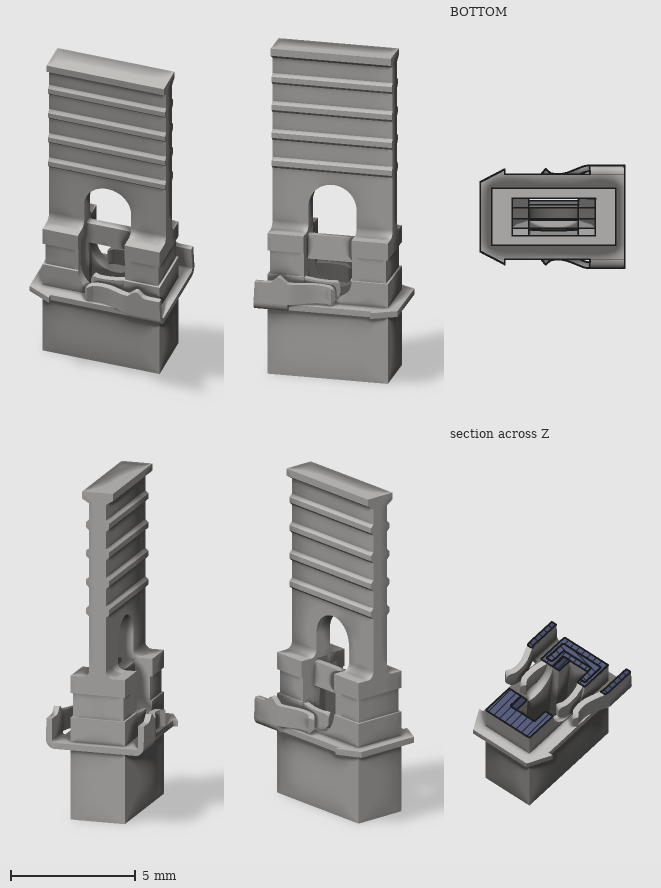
import cadquery as cq
import math

BLOCK_X = 5.0
BLOCK_Y = 2.3
BLOCK_HEIGHT = 6.0
TOTAL_HEIGHT = 13.73

NECK_BOTTOM = 4.25
NECK_TOP = 5.27
NECK_INSET = 0.089

HANDLE_THICKNESS = 0.71
HANDLE_FILLET = 0.29
RIM_WIDTH = 1.3
RIM_HEIGHT = 0.3
RIM_TAPER_HEIGHT = 0.18

RIB_COUNT = 4
RIB_TOP_Z = 12.36
RIB_PITCH = 1.2
RIB_PROJECTION = 0.13
RIB_BASE_HEIGHT = 0.47
RIB_CREST_HEIGHT = 0.22

WINDOW_WIDTH = 1.99
WINDOW_BOTTOM = 3.3
WINDOW_TOP = 8.02

PLATE_WIDTH = 3.35
PLATE_THICKNESS = 0.32
PLATE_TILT = 3.6
PLATE_TOP = 5.81
PLATE_BRIDGE_BOTTOM = 4.82
PLATE_BACK_Y = 0.77

CAVITY_FRONT_Y = -0.74
CAVITY_CEILING = 5.59
CAVITY_STEP_Y = -0.37
CAVITY_ROOF = 5.95

SHEET = 0.25
ARM_BASE_BOTTOM = 3.35
ARM_BASE_TOP = 4.23
ARM_TIP_HEIGHT = 0.69
ARM_TIP_FILLET = 0.27

CREASE_X = -0.16
BOW_APEX_X = 0.18
BOW_END_X = 0.7
BASE_BEND_X = 1.17
BASE_X = 1.45
TIP_LENGTH = 0.3

CLIP_ARM_SLOPE = 22.0
CLIP_TIP_SLOPE = 38.0
FORK_ARM_SLOPE = 14.0
FORK_TIP_SLOPE = 30.0

CLIP_LEFT = -2.97
CLIP_RIGHT = 2.87
CLIP_TAB_TOP_RIGHT = 2.8
CLIP_BOTTOM = 3.0
CLIP_END_HALF_WIDTH = 1.4
CLIP_BARB_X = -1.96
CLIP_BARB_HALF_WIDTH = 1.92
CLIP_TAB_OUTER_Y = 2.07
CLIP_BEND_RADIUS = ARM_BASE_BOTTOM - CLIP_BOTTOM
CLIP_HALF_WIDTH = CLIP_TAB_OUTER_Y - CLIP_BEND_RADIUS

BUMP_RISE = (1.66, 4.41)
BUMP_PEAK = (1.8, 4.49)
BUMP_TAIL = (2.02, 4.32)
BUMP_END_X = 2.29

FORK_BRIDGE_RIGHT = 2.2
FORK_APEX_Y = 1.07

SIDES = (-1, 1)


def block(x_min, x_max, y_min, y_max, z_min, z_max):
    size = (x_max - x_min, y_max - y_min, z_max - z_min)
    return cq.Workplane("XY").box(*size, centered=False).translate((x_min, y_min, z_min))


def centred_block(size_x, size_y, z_min, z_max):
    return block(-size_x / 2, size_x / 2, -size_y / 2, size_y / 2, z_min, z_max)


def bar_along_x(yz_points, length):
    """Prism with the given YZ outline, centred on X = 0."""
    return cq.Workplane("YZ").polyline(yz_points).close().extrude(length / 2, both=True)


def plate_back_y(z):
    return PLATE_BACK_Y - z * math.tan(math.radians(PLATE_TILT))


def make_contact_plate():
    """Leaning plate, square across its top edge, with a gap between its two legs."""
    tilt = math.radians(PLATE_TILT)
    top_back_z = PLATE_TOP + PLATE_THICKNESS * math.sin(tilt)
    top_back_y = plate_back_y(top_back_z)
    outline = [
        (plate_back_y(0), 0),
        (top_back_y, top_back_z),
        (top_back_y - PLATE_THICKNESS * math.cos(tilt), PLATE_TOP),
        (plate_back_y(0) - PLATE_THICKNESS / math.cos(tilt), 0),
    ]
    leg_gap = centred_block(WINDOW_WIDTH, BLOCK_Y, 0, PLATE_BRIDGE_BOTTOM)
    return bar_along_x(outline, PLATE_WIDTH).cut(leg_gap)


def on_circle(centre, radius, angle):
    """Point at an angle measured from straight down, positive towards +X."""
    return (centre[0] + radius * math.sin(angle), centre[1] - radius * math.cos(angle))


def arm_rise(arm_slope):
    """Offset in Y between the apex and the base of an arm."""
    slope = math.radians(arm_slope)
    bends = (BOW_END_X - BOW_APEX_X) + (BASE_X - BASE_BEND_X)
    straight = BASE_BEND_X - BOW_END_X
    return bends * math.tan(slope / 2) + straight * math.tan(slope)


def arm_plan(arm_slope, arm_tip_slope, side, apex_y, base_direction):
    """Tall strip following the bow of an arm; base_direction is 1 if the base lies further out."""
    slope = math.radians(arm_slope)
    tip_slope = math.radians(arm_tip_slope)
    bow_radius = (BOW_END_X - BOW_APEX_X) / math.sin(slope)
    base_radius = (BASE_X - BASE_BEND_X) / math.sin(slope)
    bow_centre = (BOW_APEX_X, bow_radius)
    base_centre = (BASE_X, arm_rise(arm_slope) - base_radius)
    crease = math.asin((CREASE_X - BOW_APEX_X) / bow_radius)
    crease_point = on_circle(bow_centre, bow_radius, crease)
    tip_point = (
        crease_point[0] - TIP_LENGTH * math.cos(tip_slope),
        crease_point[1] + TIP_LENGTH * math.sin(tip_slope),
    )

    def place(point):
        return (point[0], side * (apex_y + base_direction * point[1]))

    def face_points(offset):
        """Points along one face of the sheet, from the tip to the base."""
        bow = bow_radius - offset
        bend = base_radius + offset
        corner = (tip_point[0] + offset * math.sin(tip_slope),
                  tip_point[1] + offset * math.cos(tip_slope))
        points = [
            corner,
            on_circle(bow_centre, bow, crease),
            on_circle(bow_centre, bow, (crease + slope) / 2),
            on_circle(bow_centre, bow, slope),
            on_circle(base_centre, bend, math.pi + slope),
            on_circle(base_centre, bend, math.pi + slope / 2),
            on_circle(base_centre, bend, math.pi),
        ]
        return [place(point) for point in points]

    low = face_points(-SHEET / 2)
    high = face_points(SHEET / 2)
    return (
        cq.Workplane("XY")
        .moveTo(*low[0])
        .lineTo(*low[1])
        .threePointArc(low[2], low[3])
        .lineTo(*low[4])
        .threePointArc(low[5], low[6])
        .lineTo(*high[6])
        .threePointArc(high[5], high[4])
        .lineTo(*high[3])
        .threePointArc(high[2], high[1])
        .lineTo(*high[0])
        .close()
        .extrude(TOTAL_HEIGHT)
    )


def make_arm(arm_slope, tip_slope, side, apex_y, base_direction):
    """Arm that tapers in height towards a tip with rounded corners."""
    strip = arm_plan(arm_slope, tip_slope, side, apex_y, base_direction)
    tip_x = strip.val().BoundingBox().xmin
    middle_z = (ARM_BASE_BOTTOM + ARM_BASE_TOP) / 2
    taper = (
        cq.Workplane("XZ")
        .polyline([
            (tip_x, middle_z - ARM_TIP_HEIGHT / 2),
            (BASE_X, ARM_BASE_BOTTOM),
            (BASE_X, ARM_BASE_TOP),
            (tip_x, middle_z + ARM_TIP_HEIGHT / 2),
        ])
        .close()
        .extrude(CLIP_TAB_OUTER_Y, both=True)
        .edges("|Y and <X")
        .fillet(ARM_TIP_FILLET)
    )
    return strip.intersect(taper)


def make_clip_plate():
    outline = [
        (CLIP_LEFT, CLIP_END_HALF_WIDTH),
        (CLIP_BARB_X, CLIP_BARB_HALF_WIDTH),
        (CLIP_BARB_X, CLIP_HALF_WIDTH),
        (CLIP_RIGHT, CLIP_HALF_WIDTH),
    ]
    mirrored = [(x, -y) for x, y in reversed(outline)]
    plate = cq.Workplane("XY").polyline(outline + mirrored).close().extrude(SHEET)
    return plate.translate((0, 0, CLIP_BOTTOM))


def make_clip_tab(side):
    """Upright tab joined to the edge of the plate by a round bend, with a bump on top."""
    outer_mid = CLIP_BEND_RADIUS * math.sqrt(0.5)
    inner_mid = (CLIP_BEND_RADIUS - SHEET) * math.sqrt(0.5)
    section = (
        cq.Workplane("YZ")
        .moveTo(side * CLIP_HALF_WIDTH, CLIP_BOTTOM)
        .threePointArc(
            (side * (CLIP_HALF_WIDTH + outer_mid), ARM_BASE_BOTTOM - outer_mid),
            (side * CLIP_TAB_OUTER_Y, ARM_BASE_BOTTOM),
        )
        .lineTo(side * CLIP_TAB_OUTER_Y, BLOCK_HEIGHT)
        .lineTo(side * (CLIP_TAB_OUTER_Y - SHEET), BLOCK_HEIGHT)
        .lineTo(side * (CLIP_TAB_OUTER_Y - SHEET), ARM_BASE_BOTTOM)
        .threePointArc(
            (side * (CLIP_HALF_WIDTH + inner_mid), ARM_BASE_BOTTOM - inner_mid),
            (side * CLIP_HALF_WIDTH, CLIP_BOTTOM + SHEET),
        )
        .close()
        .extrude(CLIP_RIGHT)
    )
    return section.intersect(clip_tab_profile())


def clip_tab_profile():
    """Front outline of the tab: slanted right end and a rounded bump on the top edge."""
    return (
        cq.Workplane("XZ")
        .moveTo(BASE_X, CLIP_BOTTOM)
        .lineTo(CLIP_RIGHT, CLIP_BOTTOM)
        .lineTo(CLIP_TAB_TOP_RIGHT, ARM_BASE_TOP)
        .lineTo(BUMP_END_X, ARM_BASE_TOP)
        .spline(
            [BUMP_TAIL, BUMP_PEAK, BUMP_RISE, (BASE_X, ARM_BASE_TOP)],
            tangents=[(-1, 0), (-1, -1)],
            includeCurrent=True,
        )
        .close()
        .extrude(CLIP_TAB_OUTER_Y, both=True)
    )


def make_clip():
    clip = make_clip_plate()
    apex_y = CLIP_TAB_OUTER_Y - SHEET / 2 - arm_rise(CLIP_ARM_SLOPE)
    for side in SIDES:
        clip = clip.union(make_clip_tab(side))
        clip = clip.union(make_arm(CLIP_ARM_SLOPE, CLIP_TIP_SLOPE, side, apex_y, 1))
    return clip.cut(centred_block(BLOCK_X, BLOCK_Y, 0, TOTAL_HEIGHT))


def make_fork():
    """Two arms bowed outwards, joined beyond the cavity by straight legs and a bridge."""
    base_y = FORK_APEX_Y - arm_rise(FORK_ARM_SLOPE)
    outer_y = base_y + SHEET / 2
    inner_y = base_y - SHEET / 2
    yoke = block(BASE_X, FORK_BRIDGE_RIGHT, -outer_y, outer_y, ARM_BASE_BOTTOM, ARM_BASE_TOP)
    fork = yoke.cut(
        block(BASE_X, FORK_BRIDGE_RIGHT - SHEET, -inner_y, inner_y, ARM_BASE_BOTTOM, ARM_BASE_TOP)
    )
    for side in SIDES:
        fork = fork.union(make_arm(FORK_ARM_SLOPE, FORK_TIP_SLOPE, side, FORK_APEX_Y, -1))
    return fork


def make_neck_groove():
    ring = centred_block(BLOCK_X, BLOCK_Y, NECK_BOTTOM, NECK_TOP)
    return ring.cut(
        centred_block(BLOCK_X - 2 * NECK_INSET, BLOCK_Y - 2 * NECK_INSET, NECK_BOTTOM, NECK_TOP)
    )


def make_rim():
    rim_z = TOTAL_HEIGHT - RIM_HEIGHT
    taper_z = rim_z - RIM_TAPER_HEIGHT
    outline = [
        (-RIM_WIDTH / 2, TOTAL_HEIGHT),
        (RIM_WIDTH / 2, TOTAL_HEIGHT),
        (RIM_WIDTH / 2, rim_z),
        (HANDLE_THICKNESS / 2, taper_z),
        (-HANDLE_THICKNESS / 2, taper_z),
        (-RIM_WIDTH / 2, rim_z),
    ]
    return bar_along_x(outline, BLOCK_X)


def make_rib(z):
    """Pair of trapezoidal ribs, one on each face of the handle."""
    face_y = HANDLE_THICKNESS / 2
    crest_y = face_y + RIB_PROJECTION
    right = [
        (face_y, z - RIB_BASE_HEIGHT / 2),
        (crest_y, z - RIB_CREST_HEIGHT / 2),
        (crest_y, z + RIB_CREST_HEIGHT / 2),
        (face_y, z + RIB_BASE_HEIGHT / 2),
    ]
    left = [(-y, height) for y, height in reversed(right)]
    return bar_along_x(right + left, BLOCK_X)


def make_window():
    return (
        cq.Workplane("XZ")
        .center(0, (WINDOW_TOP + WINDOW_BOTTOM) / 2)
        .slot2D(WINDOW_TOP - WINDOW_BOTTOM, WINDOW_WIDTH, 90)
        .extrude(BLOCK_Y, both=True)
    )


def make_cavity():
    """Stepped cavity open at the bottom; its back wall leans with the plate."""
    outline = [
        (CAVITY_FRONT_Y, 0),
        (CAVITY_FRONT_Y, CAVITY_CEILING),
        (CAVITY_STEP_Y, CAVITY_CEILING),
        (CAVITY_STEP_Y, CAVITY_ROOF),
        (plate_back_y(CAVITY_ROOF), CAVITY_ROOF),
        (plate_back_y(0), 0),
    ]
    return bar_along_x(outline, PLATE_WIDTH)


def make_housing(fork):
    body = centred_block(BLOCK_X, BLOCK_Y, 0, BLOCK_HEIGHT)
    body = body.union(centred_block(BLOCK_X, HANDLE_THICKNESS, BLOCK_HEIGHT, TOTAL_HEIGHT))
    root = cq.selectors.BoxSelector(
        (-BLOCK_X, -HANDLE_THICKNESS, BLOCK_HEIGHT - HANDLE_FILLET),
        (BLOCK_X, HANDLE_THICKNESS, BLOCK_HEIGHT + HANDLE_FILLET),
    )
    body = body.edges("|X").edges(root).fillet(HANDLE_FILLET)
    body = body.cut(make_neck_groove()).union(make_rim())
    for index in range(RIB_COUNT):
        body = body.union(make_rib(RIB_TOP_Z - index * RIB_PITCH))
    return body.cut(make_window()).cut(make_cavity()).cut(fork)


fork = make_fork()
housing = make_housing(fork)
clip = make_clip()
contact_plate = make_contact_plate()

result = cq.Compound.makeCompound([housing.val(), clip.val(), contact_plate.val(), fork.val()])